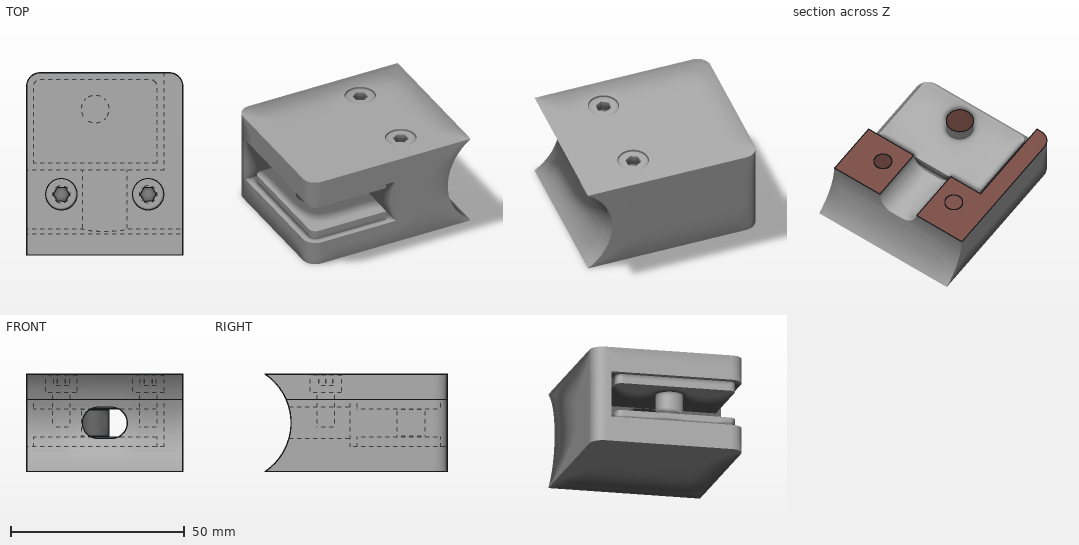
import cadquery as cq
import math

LENGTH = 52.45
WIDTH = 45.0
HEIGHT = 28.0
BACK_Y = 45.0
TIP_Y = BACK_Y - LENGTH
HALF_HEIGHT = HEIGHT / 2
CORNER_RADIUS = 4.0

SADDLE_RADIUS = (HALF_HEIGHT**2 + TIP_Y**2) / (2 * -TIP_Y)

POCKET_DEPTH = 28.0
POCKET_HEIGHT = 13.5
SIDE_WALL = 5.5
POCKET_FRONT_Y = BACK_Y - POCKET_DEPTH
POCKET_LEFT_X = -WIDTH / 2
POCKET_RIGHT_X = WIDTH / 2 - SIDE_WALL
POCKET_CENTRE_X = (POCKET_LEFT_X + POCKET_RIGHT_X) / 2
POCKET_TOP_Z = POCKET_HEIGHT / 2
POCKET_CENTRE_Y = (POCKET_FRONT_Y + BACK_Y) / 2

PAD_MARGIN = 2.0
PAD_THICKNESS = 2.75
PAD_CORNER_RADIUS = 2.0
PAD_LENGTH_X = POCKET_RIGHT_X - POCKET_LEFT_X - 2 * PAD_MARGIN
PAD_LENGTH_Y = POCKET_DEPTH - 2 * PAD_MARGIN

PIN_DIAMETER = 8.0
PIN_TO_BACK = 10.5
PIN_CLEARANCE = 0.2
PIN_LENGTH = POCKET_HEIGHT - 2 * (PAD_THICKNESS + PIN_CLEARANCE)

PASSAGE_WIDTH = 12.9
PASSAGE_HEIGHT = 9.0

SCREW_SPACING = 25.0
SCREW_TO_BACK = 35.0
SCREW_Y = BACK_Y - SCREW_TO_BACK
HEAD_DIAMETER = 9.0
HEAD_HEIGHT = 5.0
HEAD_ROUNDING = 0.5
HEAD_RECESS = 0.3
HEAD_TOP_Z = HALF_HEIGHT - HEAD_RECESS
HEAD_BOTTOM_Z = HEAD_TOP_Z - HEAD_HEIGHT
SHANK_DIAMETER = 5.0
SHANK_LENGTH = 9.95
SOCKET_ACROSS_FLATS = 4.0
SOCKET_DEPTH = 3.0
SOCKET_TURN = 2.0


def block(z_low, z_high):
    """Layer of the block with rounded back corners, before the saddle is cut."""
    return (
        cq.Workplane("XY", origin=(0, (TIP_Y + BACK_Y) / 2, z_low))
        .rect(WIDTH, LENGTH)
        .extrude(z_high - z_low)
        .edges("|Z and >Y")
        .fillet(CORNER_RADIUS)
    )


def saddle_cutter():
    """Cylinder of the tube that the saddle rests on."""
    return (
        cq.Workplane("YZ", origin=(-WIDTH / 2, -SADDLE_RADIUS, 0))
        .circle(SADDLE_RADIUS)
        .extrude(WIDTH)
    )


def pocket_cutter():
    """Space for the panel, open to the back and to -X."""
    return cq.Workplane("XY", origin=(POCKET_CENTRE_X, POCKET_CENTRE_Y, 0)).box(
        POCKET_RIGHT_X - POCKET_LEFT_X, POCKET_DEPTH, POCKET_HEIGHT
    )


def passage_cutter():
    """Oblong hole along Y that ends in the pocket."""
    return (
        cq.Workplane("XZ", origin=(0, POCKET_FRONT_Y, 0))
        .slot2D(PASSAGE_WIDTH, PASSAGE_HEIGHT)
        .extrude(POCKET_FRONT_Y - TIP_Y)
    )


def stepped_cylinder(x, top_z):
    """Wide cylinder for the head, ending at top_z, and the shank below it."""
    head = (
        cq.Workplane("XY", origin=(x, SCREW_Y, HEAD_BOTTOM_Z))
        .circle(HEAD_DIAMETER / 2)
        .extrude(top_z - HEAD_BOTTOM_Z)
    )
    shank = (
        cq.Workplane("XY", origin=(x, SCREW_Y, HEAD_BOTTOM_Z))
        .circle(SHANK_DIAMETER / 2)
        .extrude(-SHANK_LENGTH)
    )
    return head.union(shank)


def make_screw(x):
    """Screw with a rounded head rim and a hexagon socket."""
    across_corners = SOCKET_ACROSS_FLATS / math.cos(math.pi / 6)
    socket = (
        cq.Workplane("XY", origin=(x, SCREW_Y, HEAD_TOP_Z))
        .transformed(rotate=(0, 0, math.copysign(SOCKET_TURN, x)))
        .polygon(6, across_corners)
        .extrude(-SOCKET_DEPTH)
    )
    blank = stepped_cylinder(x, HEAD_TOP_Z)
    return blank.faces(">Z").edges().fillet(HEAD_ROUNDING).cut(socket)


def make_base():
    """Lower plate, saddle block and side wall in one piece."""
    base = block(-HALF_HEIGHT, POCKET_TOP_Z)
    base = base.cut(saddle_cutter()).cut(pocket_cutter()).cut(passage_cutter())
    for x in screw_places:
        base = base.cut(stepped_cylinder(x, HALF_HEIGHT))
    return base


def make_cover():
    """Upper plate with the stepped screw holes."""
    cover = block(POCKET_TOP_Z, HALF_HEIGHT).cut(saddle_cutter())
    for x in screw_places:
        cover = cover.cut(stepped_cylinder(x, HALF_HEIGHT))
    return cover


def make_pad(z_low):
    """Flat pad with rounded corners."""
    return (
        cq.Workplane("XY", origin=(POCKET_CENTRE_X, POCKET_CENTRE_Y, z_low))
        .rect(PAD_LENGTH_X, PAD_LENGTH_Y)
        .extrude(PAD_THICKNESS)
        .edges("|Z and >Y")
        .fillet(PAD_CORNER_RADIUS)
    )


def make_pin():
    """Round pin between the pads, just clear of both."""
    return cq.Workplane("XY", origin=(POCKET_CENTRE_X, BACK_Y - PIN_TO_BACK, 0)).cylinder(
        PIN_LENGTH, PIN_DIAMETER / 2
    )


screw_places = [-SCREW_SPACING / 2, SCREW_SPACING / 2]
pad_places = [-POCKET_TOP_Z, POCKET_TOP_Z - PAD_THICKNESS]

base = make_base()
cover = make_cover()
pin = make_pin()
pads = [make_pad(z) for z in pad_places]
screws = [make_screw(x) for x in screw_places]

result = cq.Compound.makeCompound([
    base.val(),
    cover.val(),
    pin.val(),
    *[pad.val() for pad in pads],
    *[screw.val() for screw in screws],
])